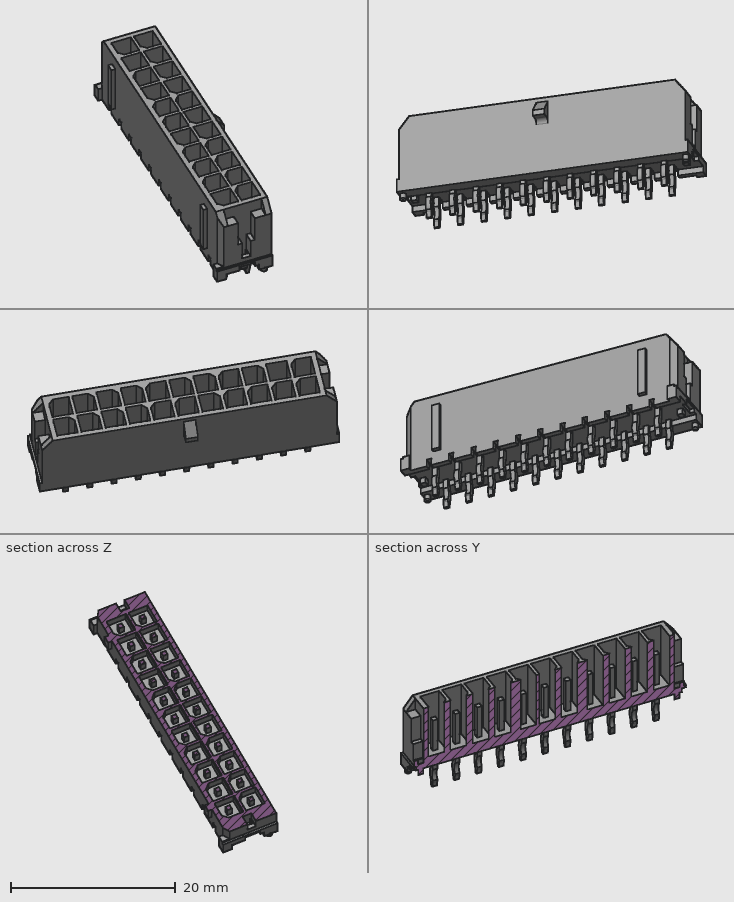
import cadquery as cq


overall_length = 37.15
body_length = 36.55
body_width = 6.85
body_height = 9.92
core_length = 33.95
tower_height = 8.3
front_y = -body_width / 2
rear_y = body_width / 2
front_projection = 0.52
foot_front_y = front_y - front_projection

contacts_per_row = 11
row_length = 30.0
pitch = row_length / (contacts_per_row - 1)
row_middle_y = 0.05

rear_row_keys = "RRRRLRRLLLL"
front_row_keys = "R-LRLLRLLLR"
cavity_length = 2.55
cavity_width = 2.5
cavity_key = 0.65
cavity_floor_z = 2.4
front_row_relief = 0.1
relief_floor_z = 3.35

pin_size = 0.65
pin_top_z = 7.0
pin_bottom_z = -3.15
pin_tip_z = -2.38
pin_tip_width = 0.35
bend_top_z = -0.5
bend_bottom_z = -2.15
bend_depth = 0.22

tower_rear_post_y = 2.65
tower_front_post_y = -2.38
end_middle_y = 0.07
slot_width = 2.23
slot_floor_z = 4.8
narrow_slot_width = 1.1
narrow_slot_floor_z = 2.35
bevel_length = 0.8
bevel_width = 0.52

end_plate_height = 1.67
foot_length = 1.15
foot_height = 1.9
end_recess_width = 2.05
end_recess_depth = 0.55
end_recess_top_z = 1.35
clip_width = 0.78
clip_outer_x = 17.7
clip_length = clip_outer_x - core_length / 2
clip_top_z = 1.67

channel_rear_y = 1.65
channel_front_y = -2.7
channel_depth = 0.78
notch_height = 0.95

rib_spacing = 27.8
rib_width = 1.0
rib_bottom_z = foot_height
rib_top_z = tower_height

latch_width = 1.5
latch_reach = 1.4
latch_top_z = 9.35
latch_nose_top_z = 7.73
latch_nose_bottom_z = 7.02
latch_root_z = 6.45
latch_fillet_reach = 0.65

peg_x = 18.05
peg_y = 2.5
peg_diameter = 0.78
peg_length = 0.85
peg_chamfer = 0.2


def block(x0, x1, y0, y1, z0, z1):
    """Box between two opposite corners, given as ranges along the axes."""
    size = (abs(x1 - x0), y1 - y0, z1 - z0)
    return cq.Workplane("XY").box(*size, centered=False).translate((min(x0, x1), y0, z0))


def centred_block(middle_x, length, y0, y1, z0, z1):
    """Box whose X range is centred on middle_x."""
    return block(middle_x - length / 2, middle_x + length / 2, y0, y1, z0, z1)


def column_x(column):
    return -row_length / 2 + column * pitch


def make_housing():
    """Long block with sloped top ends, seen as a profile in X and Z."""
    return (
        cq.Workplane("XZ", origin=(0, rear_y, 0))
        .moveTo(-body_length / 2, 0)
        .lineTo(body_length / 2, 0)
        .lineTo(body_length / 2, tower_height)
        .lineTo(core_length / 2, body_height)
        .lineTo(-core_length / 2, body_height)
        .lineTo(-body_length / 2, tower_height)
        .close()
        .extrude(body_width)
    )


def make_end_cuts(side):
    """Space between the sloped posts, the stepped slot and the front corner bevel."""
    core_x = side * core_length / 2
    outer_x = side * body_length / 2
    cuts = block(core_x, outer_x, tower_front_post_y, tower_rear_post_y, tower_height, body_height)
    for width, floor_z in ((slot_width, slot_floor_z), (narrow_slot_width, narrow_slot_floor_z)):
        slot_front_y = end_middle_y - width / 2
        cuts = cuts.union(block(core_x, outer_x, slot_front_y, slot_front_y + width, floor_z, body_height))
    bevel = (
        cq.Workplane("XY", origin=(0, 0, foot_height))
        .moveTo(outer_x, front_y)
        .lineTo(outer_x - side * bevel_length, front_y)
        .lineTo(outer_x, front_y + bevel_width)
        .close()
        .extrude(body_height)
    )
    return cuts.union(bevel)


def make_end_plate(side):
    """Low plate closing the housing end, with the foot at its front corner."""
    outer_x = side * overall_length / 2
    tower_x = side * body_length / 2
    foot_inner_x = outer_x - side * foot_length
    plate = block(foot_inner_x, outer_x, foot_front_y, rear_y, 0, end_plate_height)
    foot = block(foot_inner_x, tower_x, foot_front_y, front_y + bevel_width, 0, foot_height)
    return plate.union(foot)


def make_clip(side, z0, z1):
    """Upright retaining clip, or the pocket for it, in the housing end."""
    clip_front_y = end_middle_y - clip_width / 2
    outer_x = side * clip_outer_x
    inner_x = outer_x - side * clip_length
    return block(inner_x, outer_x, clip_front_y, clip_front_y + clip_width, z0, z1)


def make_end_recess(side):
    outer_x = side * overall_length / 2
    recess_front_y = end_middle_y - end_recess_width / 2
    return block(
        outer_x - side * end_recess_depth,
        outer_x,
        recess_front_y,
        recess_front_y + end_recess_width,
        0,
        end_recess_top_z,
    )


def make_peg(side):
    return (
        cq.Workplane("XY", origin=(side * peg_x, peg_y, 0))
        .circle(peg_diameter / 2)
        .extrude(-peg_length)
        .faces("<Z")
        .chamfer(peg_chamfer)
    )


def make_cavity(x, y, key):
    cavity = cq.Workplane("XY").box(cavity_length, cavity_width, body_height)
    key_edges = {"R": ">X and <Y", "L": "<X and <Y"}
    if key in key_edges:
        cavity = cavity.edges("|Z").edges(key_edges[key]).chamfer(cavity_key)
    return cavity.translate((x, y, cavity_floor_z + body_height / 2))


def make_pin(x, y, side):
    """Square pin with a tapered tip and a tail bowed outward (side is +1 rear, -1 front)."""
    half = pin_size / 2
    half_tip = pin_tip_width / 2
    bend_middle_z = (bend_top_z + bend_bottom_z) / 2
    bow = side * bend_depth
    return (
        cq.Workplane("YZ", origin=(x - half, y, 0))
        .moveTo(-half, pin_top_z)
        .lineTo(-half, bend_top_z)
        .threePointArc((-half + bow, bend_middle_z), (-half, bend_bottom_z))
        .lineTo(-half, pin_tip_z)
        .lineTo(-half_tip, pin_bottom_z)
        .lineTo(half_tip, pin_bottom_z)
        .lineTo(half, pin_tip_z)
        .lineTo(half, bend_bottom_z)
        .threePointArc((half + bow, bend_middle_z), (half, bend_top_z))
        .lineTo(half, pin_top_z)
        .close()
        .extrude(pin_size)
    )


def make_latch():
    """Wedge with a sloped top, a blunt nose and a concave fillet at its root."""
    nose_y = rear_y + latch_reach
    fillet_y = rear_y + latch_fillet_reach
    return (
        cq.Workplane("YZ", origin=(-latch_width / 2, 0, 0))
        .moveTo(rear_y, latch_top_z)
        .lineTo(nose_y, latch_nose_top_z)
        .lineTo(nose_y, latch_nose_bottom_z)
        .lineTo(fillet_y, latch_nose_bottom_z)
        .tangentArcPoint((rear_y, latch_root_z), relative=False)
        .close()
        .extrude(latch_width)
    )


result = make_housing()
for end in (-1, 1):
    result = result.cut(make_end_cuts(end)).union(make_end_plate(end))
    result = result.cut(make_end_recess(end))
    result = result.cut(make_clip(end, clip_top_z, slot_floor_z))

result = result.cut(
    centred_block(0, overall_length, channel_front_y, channel_rear_y, 0, channel_depth)
)

for end in (-1, 1):
    result = result.union(make_clip(end, 0, clip_top_z)).union(make_peg(end))

for rib_x in (-rib_spacing / 2, rib_spacing / 2):
    result = result.union(
        centred_block(rib_x, rib_width, foot_front_y, front_y, rib_bottom_z, rib_top_z)
    )
result = result.union(make_latch())

rear_row_y = row_middle_y + pitch / 2
front_row_y = row_middle_y - pitch / 2
openings = cq.Workplane("XY")
for column in range(contacts_per_row):
    x = column_x(column)
    relief_front_y = front_row_y + cavity_width / 2
    relief_rear_y = relief_front_y + front_row_relief
    openings.add(make_cavity(x, rear_row_y, rear_row_keys[column]))
    openings.add(make_cavity(x, front_row_y, front_row_keys[column]))
    openings.add(
        centred_block(x, cavity_length, relief_front_y, relief_rear_y, relief_floor_z, body_height)
    )
    openings.add(centred_block(x, pin_size, front_y, front_row_y, 0, notch_height))
for opening in openings.vals():
    result = result.cut(cq.Workplane(opening))

for column in range(contacts_per_row):
    result = result.union(make_pin(column_x(column), rear_row_y, 1))
    result = result.union(make_pin(column_x(column), front_row_y, -1))